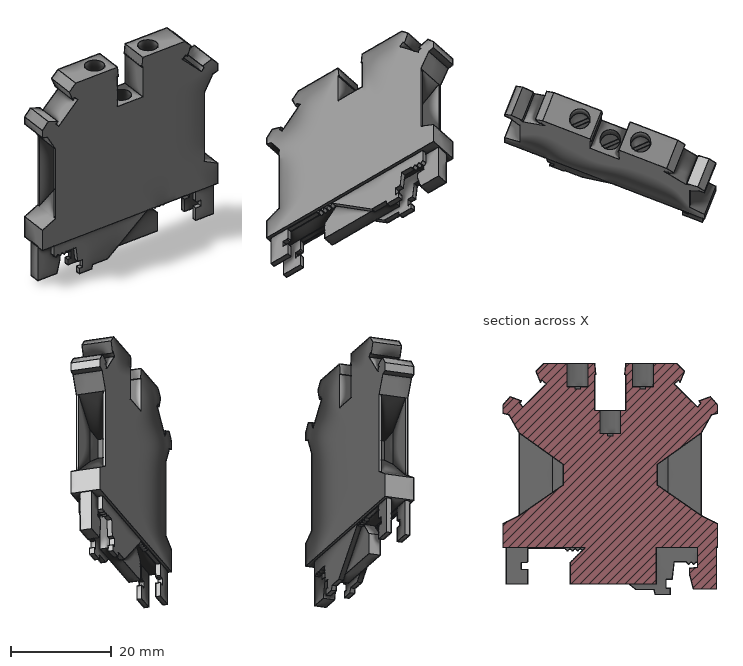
import cadquery as cq

thickness = 6.15
half_length = 21.25
height = 45.8

base_z = 9.3
base_side_top_z = 14.05
waist_y = 18.05
waist_bottom_z = 15.65
waist_top_z = 32.05

gap_half_width = 3.05
gap_floor_z = 36.5
lip_reach = 0.25
lip_z = 43.57

well_diameter = 4.05
well_depth = 4.6
well_spacing = 6.45
screw_slot_width = 0.7
screw_slot_depth = 0.45
screw_slot_angle = -45

funnel_half_width = 2.55
funnel_throat_half_width = 1.6
funnel_depth = 8.7
funnel_straight_depth = 6.65
funnel_throat_bottom_z = 21.7
funnel_throat_top_z = 25.8

tower_chamfer = 1.55
tower_outer_y = 14.75
groove_low = (17.3, 37.15)
groove_high = (12.7, 41.75)
hook_bottom_z = 35.9
hook_side_top_z = 37.6
lower_hook_root = (20.05, 35.6)
lower_hook_peak = (19.85, 39.2)
lower_hook_tip = (17.55, 38.4)
lower_hook_notch = (17.9, 37.95)
upper_hook_notch = (13.5, 42.48)
upper_hook_tip = (13.85, 42.0)

plate_thickness = 1.0
plate_inner_x = 1.45
root_depth = 0.45
foot_top_z = base_z + root_depth
plate_edge_z = 9.1
tooth_depth = 0.5
tooth_pitch = 1.0
long_teeth_y = 9.0
long_teeth_count = 4
short_teeth_z = 6.45
short_teeth_count = 3

leg_outer_y = 20.6
leg_inner_y = 16.3
leg_bottom_z = 2.05
notch_y = 17.6
notch_bottom_z = 5.0
notch_top_z = 6.32
notch_chamfer = 0.25

catch_heel_y = -5.1
catch_heel_z = 0.95
catch_toe_y = -8.9
catch_toe_slant = 0.25
catch_tip_y = -11.9
catch_tip_z = 1.3
catch_throat_y = -11.1
catch_throat_z = 3.02
catch_shelf_y = -12.3
catch_top_y = -12.7

center_foot_thickness = 2.45
block_y = 7.95
block_side_top_z = 6.32
block_inner_y = -9.15
hook_leg_outer_y = -21.1
hook_leg_bottom_z = 1.1
hook_leg_bottom_y = -16.45
hook_leg_nose_y = -15.65
hook_leg_nose_z = 4.12
hook_leg_nose_top_z = 5.22
hook_leg_inner_y = -17.27
hook_leg_ledge_z = 5.4


def plate(points, x_start, width):
    """Extrude a closed outline of (y, z) points along +X from x_start."""
    return cq.Workplane("YZ", origin=(x_start, 0, 0)).polyline(points).close().extrude(width)


def teeth(y_start, z_root, count):
    """Points of a row of pointed teeth hanging below z_root and running toward -Y."""
    points = []
    for index in range(count):
        y_root = y_start - index * tooth_pitch
        points.append((y_root, z_root))
        points.append((y_root - tooth_pitch / 2, z_root - tooth_depth))
    points.append((y_start - count * tooth_pitch, z_root))
    return points


def make_housing():
    """Symmetric housing with a marker groove between two hooks on each shoulder."""
    half_outline = [
        (half_length, base_z),
        (half_length, base_side_top_z),
        (waist_y, waist_bottom_z),
        (waist_y, waist_top_z),
        lower_hook_root,
        (half_length, hook_bottom_z),
        (half_length, hook_side_top_z),
        lower_hook_peak,
        lower_hook_tip,
        lower_hook_notch,
        groove_low,
        groove_high,
        upper_hook_notch,
        upper_hook_tip,
        (tower_outer_y, height - tower_chamfer),
        (tower_outer_y - tower_chamfer, height),
        (gap_half_width, height),
        (gap_half_width - lip_reach, lip_z),
        (gap_half_width, lip_z),
        (gap_half_width, gap_floor_z),
    ]
    mirrored = [(-y, z) for y, z in reversed(half_outline)]
    return plate(half_outline + mirrored, -thickness / 2, thickness)


def make_screw_well(y, top_z):
    """Round well with a screwdriver slot sunk into its floor."""
    floor_z = top_z - well_depth
    well = cq.Workplane("XY", origin=(0, y, floor_z)).circle(well_diameter / 2).extrude(well_depth)
    head = (
        cq.Workplane("XY", origin=(0, y, floor_z - screw_slot_depth))
        .circle(well_diameter / 2)
        .extrude(screw_slot_depth)
    )
    slot = (
        cq.Workplane("XY", origin=(0, y, floor_z - screw_slot_depth))
        .transformed(rotate=(0, 0, screw_slot_angle))
        .rect(well_diameter, screw_slot_width)
        .extrude(screw_slot_depth)
    )
    return well.union(head.intersect(slot))


def make_funnel():
    """Wire funnel in the -Y end: sloped floor and roof, side walls tapering to a throat."""
    throat_y = -waist_y + funnel_depth
    taper_y = -waist_y + funnel_straight_depth
    side_outline = [
        (-waist_y, waist_bottom_z),
        (throat_y, funnel_throat_bottom_z),
        (throat_y, funnel_throat_top_z),
        (-waist_y, waist_top_z),
    ]
    plan_outline = [
        (-funnel_half_width, -waist_y),
        (funnel_half_width, -waist_y),
        (funnel_half_width, taper_y),
        (funnel_throat_half_width, throat_y),
        (-funnel_throat_half_width, throat_y),
        (-funnel_half_width, taper_y),
    ]
    side = plate(side_outline, -funnel_half_width, 2 * funnel_half_width)
    plan = cq.Workplane("XY").polyline(plan_outline).close().extrude(height)
    return side.intersect(plan)


def make_foot_plate(x_start):
    """Outer foot plate: notched leg at +Y, two toothed edges and a stepped catch at -Y."""
    short_teeth_y = -waist_y + short_teeth_count * tooth_pitch
    outline = [
        (leg_outer_y, foot_top_z),
        (leg_outer_y, leg_bottom_z),
        (leg_inner_y, leg_bottom_z),
        (leg_inner_y, notch_bottom_z),
        (notch_y, notch_bottom_z),
        (notch_y, notch_top_z),
        (leg_inner_y + notch_chamfer, notch_top_z),
        (leg_inner_y, notch_top_z + notch_chamfer),
        (leg_inner_y, plate_edge_z),
        *teeth(long_teeth_y, plate_edge_z, long_teeth_count),
        (catch_heel_y, catch_heel_z),
        (catch_toe_y + catch_toe_slant, catch_heel_z),
        (catch_toe_y, 0),
        (catch_tip_y, 0),
        (catch_tip_y, catch_tip_z),
        (catch_throat_y, catch_tip_z),
        (catch_throat_y, catch_throat_z),
        (catch_shelf_y, catch_throat_z),
        (catch_top_y, short_teeth_z),
        *teeth(short_teeth_y, short_teeth_z, short_teeth_count),
        (-waist_y, foot_top_z),
    ]
    return plate(outline, x_start, plate_thickness)


def make_center_foot():
    """Central block under the housing and the hooked leg at the -Y end."""
    block_top_y = block_y - (foot_top_z - block_side_top_z)
    block_outline = [
        (block_y, leg_bottom_z),
        (block_y, block_side_top_z),
        (block_top_y, foot_top_z),
        (block_inner_y, foot_top_z),
        (block_inner_y, leg_bottom_z),
    ]
    leg_outline = [
        (hook_leg_outer_y, foot_top_z),
        (hook_leg_outer_y, hook_leg_bottom_z),
        (hook_leg_bottom_y, hook_leg_bottom_z),
        (hook_leg_nose_y, hook_leg_nose_z),
        (hook_leg_nose_y, hook_leg_nose_top_z),
        (hook_leg_inner_y, hook_leg_ledge_z),
        (hook_leg_inner_y, foot_top_z),
    ]
    x_start = -center_foot_thickness / 2
    block = plate(block_outline, x_start, center_foot_thickness)
    return block.union(plate(leg_outline, x_start, center_foot_thickness))


result = make_housing()

for well_y, well_top_z in ((-well_spacing, height), (0, gap_floor_z), (well_spacing, height)):
    result = result.cut(make_screw_well(well_y, well_top_z))

funnel = make_funnel()
result = result.cut(funnel).cut(funnel.mirror("XZ"))

for plate_x in (-plate_inner_x - plate_thickness, plate_inner_x):
    result = result.union(make_foot_plate(plate_x))

result = result.union(make_center_foot())